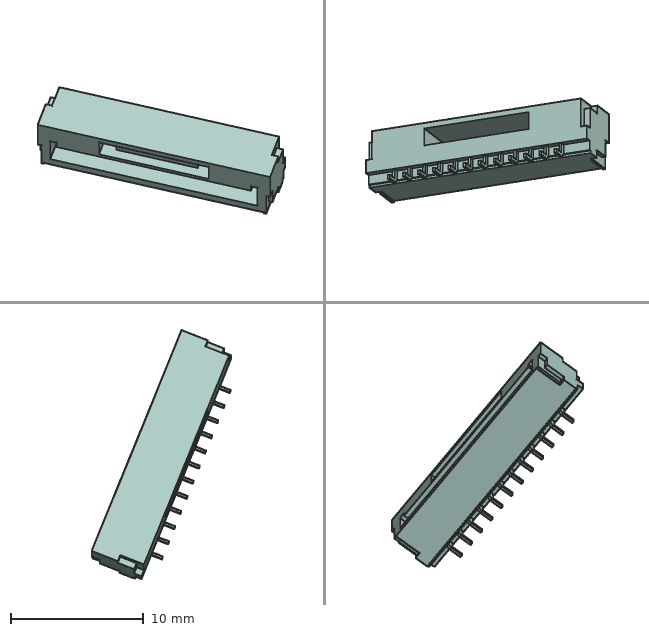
import cadquery as cq

length = 18.25
depth = 4.05
height = 4.35
standoff = 0.1
half_length = length / 2

rear_wall_bottom = 1.05
tail_wall_y = 3.55
tail_wall_bottom = 0.3
underside_depth = 3.4

cavity_wall = 1.0
cavity_bottom = 0.72
cavity_top = 2.27
cavity_depth = 3.0
keyway_width = 0.5
keyway_top = 2.77

window_width = 8.6
window_bottom = 2.54
window_top = 3.9
catch_width = 6.4
catch_height = 0.4
catch_front = 0.8
catch_thickness = 0.5

upper_relief_inset = 0.5
upper_relief_y = 2.13
upper_relief_back_y = 3.45
upper_relief_bottom = 2.1
upper_relief_ledge = 3.7
lower_relief_inset = 0.5
lower_relief_y = 2.25
lower_relief_front_y = 0.65
lower_relief_ledge = 0.73
lower_relief_top = 2.05

solder_tab_thickness = 0.2
solder_tab_gap = 0.05
solder_tab_back_y = lower_relief_y - solder_tab_gap

contact_count = 12
contact_pitch = 1.25
tail_width = 0.2
tail_vertical_thickness = 0.4
tail_flat_thickness = 0.3
tail_bend_chamfer = 0.27
tail_reach = 4.85


def box(x_min, x_max, y_min, y_max, z_min, z_max):
    """Box between two opposite corners."""
    size = (x_max - x_min, y_max - y_min, z_max - z_min)
    return cq.Workplane("XY").box(*size, centered=False).translate((x_min, y_min, z_min))


def side_profile(points, x_min, width):
    """Extrude a closed Y-Z outline along +X, starting at x_min."""
    return cq.Workplane("YZ", origin=(x_min, 0, 0)).polyline(points).close().extrude(width)


def make_housing():
    outline = [
        (0, standoff),
        (underside_depth, standoff),
        (underside_depth, tail_wall_bottom),
        (tail_wall_y, tail_wall_bottom),
        (tail_wall_y, rear_wall_bottom),
        (depth, rear_wall_bottom),
        (depth, height),
        (0, height),
    ]
    return side_profile(outline, -half_length, length)


def make_cavity():
    half_width = half_length - cavity_wall
    cavity = box(-half_width, half_width, 0, cavity_depth, cavity_bottom, cavity_top)
    for x_min in (-half_width, half_width - keyway_width):
        keyway = box(x_min, x_min + keyway_width, 0, cavity_depth, cavity_bottom, keyway_top)
        cavity = cavity.union(keyway)
    return cavity


def make_window():
    half_width = window_width / 2
    return box(-half_width, half_width, 0, depth, window_bottom, window_top)


def make_catch():
    half_width = catch_width / 2
    catch_back = catch_front + catch_thickness
    return box(-half_width, half_width, catch_front, catch_back, window_bottom, window_bottom + catch_height)


def make_upper_relief(x_min):
    outline = [
        (upper_relief_y, height),
        (upper_relief_y, upper_relief_ledge),
        (upper_relief_back_y, upper_relief_ledge),
        (upper_relief_back_y, upper_relief_bottom),
        (depth, upper_relief_bottom),
        (depth, height),
    ]
    return side_profile(outline, x_min, upper_relief_inset)


def make_lower_relief(x_min):
    outline = [
        (0, lower_relief_top),
        (lower_relief_front_y, lower_relief_top),
        (lower_relief_front_y, lower_relief_ledge),
        (lower_relief_y, lower_relief_ledge),
        (lower_relief_y, standoff),
        (0, standoff),
    ]
    return side_profile(outline, x_min, lower_relief_inset)


def make_solder_tab(x_min):
    outline = [
        (0, lower_relief_top),
        (lower_relief_front_y, lower_relief_top),
        (lower_relief_front_y, lower_relief_ledge),
        (solder_tab_back_y, lower_relief_ledge),
        (solder_tab_back_y, 0),
        (0, 0),
    ]
    return side_profile(outline, x_min, solder_tab_thickness)


def make_tail(x_center):
    tail_back = tail_wall_y + tail_vertical_thickness
    outline = [
        (tail_wall_y, rear_wall_bottom),
        (tail_wall_y, tail_bend_chamfer),
        (tail_wall_y + tail_bend_chamfer, 0),
        (tail_reach, 0),
        (tail_reach, tail_flat_thickness),
        (tail_back, tail_flat_thickness),
        (tail_back, rear_wall_bottom),
    ]
    return side_profile(outline, x_center - tail_width / 2, tail_width)


connector = make_housing().cut(make_cavity()).cut(make_window()).union(make_catch())

for end_x in (-half_length, half_length - upper_relief_inset):
    connector = connector.cut(make_upper_relief(end_x))

for end_x in (-half_length, half_length - lower_relief_inset):
    connector = connector.cut(make_lower_relief(end_x))

right_relief_x = half_length - lower_relief_inset
left_relief_x = -half_length + lower_relief_inset
for tab_x in (left_relief_x - solder_tab_thickness, right_relief_x):
    connector = connector.union(make_solder_tab(tab_x))

for index in range(contact_count):
    contact_x = (index - (contact_count - 1) / 2) * contact_pitch
    connector = connector.union(make_tail(contact_x))

result = connector